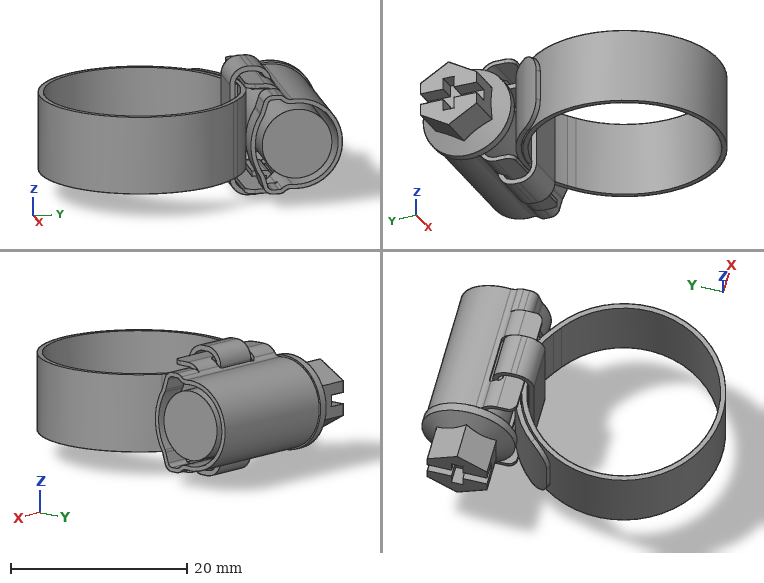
import cadquery as cq
import math

screw_axis_y = 16.25
head_end_x = -12.65
hex_width = 7.0
collar_radius = 5.45
collar_front_x = -7.53
collar_back_x = -6.55
cone_angle = 30.0
cone_tip_radius = 3.0
shaft_radius = 4.03
slot_width = 1.33
slot_depth = 2.0
cross_slot_length = 4.05

housing_end_x = 9.5
housing_sheet = 0.5
barrel_radius = 5.25
barrel_overrun = 6.5
valley_radius = 0.95
wing_end_x = 6.45
wing_slope = 53.0
wing_bend_radius = 2.03
wing_tip_y = 11.0
wing_corner_radius = 1.0
window_half_length = 3.03
window_far_y = 15.02
window_near_y = 13.5
window_corner_radius = 0.43

loop_slope = 43.5
loop_shoulder_radius = 1.05
loop_top_flat = 0.7
loop_side_radius = 1.1
loop_side_turn = 73.0
loop_side_length = 1.25
loop_kink_radius = 0.65
loop_bottom_half_angle = 32.0

strap_half_length = 2.55
strap_sheet = 0.6
strap_half_height = 7.542
strap_bend_radius = 2.1
strap_near_y = 9.85
strap_far_y = 14.7
strap_hook_tip_y = 12.42
strap_hook_z = 4.8

band_radius = 11.6
band_sheet = 0.6
band_width = 9.0
band_start_angle = 96.0
ring_end_angle = 54.5
lift_length = 1.13
tail_radius = 11.2
tail_end_angle = 151.5
tail_corner_radius = 2.65



def polar(radius, angle):
    return cq.Vector(radius * math.cos(math.radians(angle)), radius * math.sin(math.radians(angle)))


def advance(point, heading, step):
    """Point and heading reached after one step."""
    size, turn = step
    if turn == 0:
        return point + polar(size, heading), heading
    quarter = math.copysign(90, turn)
    center = point + polar(size, heading + quarter)
    return center - polar(size, heading + turn + quarter), heading + turn


def walk(point, heading, steps):
    """Point and heading reached after all the steps."""
    for step in steps:
        point, heading = advance(point, heading, step)
    return point, heading


def draw_path(outline, point, heading, steps):
    """Adds the steps to an outline whose current point is the given one."""
    for size, turn in steps:
        middle = advance(point, heading, (size, turn / 2))[0]
        point, heading = advance(point, heading, (size, turn))
        if turn:
            outline = outline.threePointArc((middle.x, middle.y), (point.x, point.y))
        else:
            outline = outline.lineTo(point.x, point.y)
    return outline


def inner_path(steps, thickness):
    """The steps of the inner face that runs beside the outer one."""
    return [(size - math.copysign(thickness, turn) if turn else size, turn) for size, turn in steps]


def reverse_turns(steps):
    """The same path walked from its other end."""
    return [(size, -turn) for size, turn in reversed(steps)]


def symmetric(half_steps):
    """Path whose first half is the given one and whose second half mirrors it."""
    return half_steps + half_steps[::-1]


def bent_sheet(plane, start, heading, steps, thickness):
    """Closed outline of a bent sheet with square ends."""
    end, end_heading = walk(start, heading, steps)
    inner_end = end + polar(thickness, end_heading + 90)
    outline = cq.Workplane(plane).moveTo(start.x, start.y)
    outline = draw_path(outline, start, heading, steps).lineTo(inner_end.x, inner_end.y)
    way_back = reverse_turns(inner_path(steps, thickness))
    return draw_path(outline, inner_end, end_heading + 180, way_back).close()



def make_screw():
    cone_length = (collar_radius - cone_tip_radius) * math.tan(math.radians(cone_angle))
    turned = (
        cq.Workplane("XY")
        .moveTo(collar_front_x - cone_length, 0)
        .lineTo(collar_front_x - cone_length, cone_tip_radius)
        .lineTo(collar_front_x, collar_radius)
        .lineTo(collar_back_x, collar_radius)
        .lineTo(collar_back_x, shaft_radius)
        .lineTo(housing_end_x, shaft_radius)
        .lineTo(housing_end_x, 0)
        .close()
        .revolve(360, (0, 0, 0), (1, 0, 0))
    )
    hexagon = (
        cq.Workplane("YZ", origin=(head_end_x, 0, 0))
        .polygon(6, hex_width, circumscribed=True)
        .extrude(collar_front_x - head_end_x)
    )
    slots = (
        cq.Workplane("YZ", origin=(head_end_x, 0, 0))
        .rect(hex_width, slot_width)
        .extrude(slot_depth)
        .union(
            cq.Workplane("YZ", origin=(head_end_x, 0, 0))
            .rect(slot_width, cross_slot_length)
            .extrude(slot_depth)
        )
    )
    return turned.union(hexagon).cut(slots).translate((0, screw_axis_y, 0))



def barrel_upper_edge():
    """Point and heading where the barrel's outer face ends above the screw."""
    barrel_back = cq.Vector(screw_axis_y + barrel_radius, 0)
    return walk(barrel_back, 90, [(barrel_radius, 90 + barrel_overrun)])


def make_barrel():
    edge, heading = barrel_upper_edge()
    lower_edge = cq.Vector(edge.x, -edge.y)
    arc = (barrel_radius, 90 + barrel_overrun)
    return (
        bent_sheet("YZ", lower_edge, 180 - heading, symmetric([arc]), housing_sheet)
        .extrude(housing_end_x - collar_back_x)
        .translate((collar_back_x, 0, 0))
    )


def make_upper_wing():
    edge, heading = barrel_upper_edge()
    bends = [(valley_radius, -barrel_overrun - wing_slope), (wing_bend_radius, wing_slope)]
    bend_end = walk(edge, heading, bends)[0]
    wing_flat = (bend_end.x - wing_tip_y, 0)
    return (
        bent_sheet("YZ", edge, heading, bends + [wing_flat], housing_sheet)
        .extrude(wing_end_x - collar_back_x)
        .edges("|Z and <Y")
        .fillet(wing_corner_radius)
        .translate((collar_back_x, 0, 0))
    )


def make_end_loop():
    """Far end of the housing, where the sheet runs around below the screw to the barrel's other edge."""
    edge, heading = barrel_upper_edge()
    side = [
        (valley_radius, -barrel_overrun - loop_slope),
        (loop_shoulder_radius, loop_slope),
        (loop_top_flat, 0),
        (loop_side_radius, loop_side_turn),
        (loop_side_length, 0),
        (loop_kink_radius, 90 - loop_bottom_half_angle - loop_side_turn),
    ]
    side_end = walk(edge, heading, side)[0]
    bottom_radius = side_end.y / math.sin(math.radians(loop_bottom_half_angle))
    half_loop = side + [(bottom_radius, loop_bottom_half_angle)]
    return (
        bent_sheet("YZ", edge, heading, symmetric(half_loop), housing_sheet)
        .extrude(housing_end_x - wing_end_x)
        .translate((wing_end_x, 0, 0))
    )


def make_housing():
    upper_wing = make_upper_wing()
    windows = (
        cq.Workplane("XY")
        .center(0, (window_far_y + window_near_y) / 2)
        .rect(2 * window_half_length, window_far_y - window_near_y)
        .extrude(strap_half_height, both=True)
        .edges("|Z")
        .fillet(window_corner_radius)
    )
    return (
        make_barrel()
        .union(make_end_loop())
        .union(upper_wing)
        .union(upper_wing.mirror("XY"))
        .cut(windows)
    )



def make_strap():
    hook_radius = strap_half_height - strap_bend_radius - strap_hook_z
    hook_length = strap_far_y - hook_radius - strap_hook_tip_y
    top_flat = strap_far_y - strap_near_y - 2 * strap_bend_radius
    half_strap = [
        (hook_length, 0),
        (hook_radius, 90),
        (strap_bend_radius, 90),
        (top_flat, 0),
        (strap_bend_radius, 90),
        (strap_half_height - strap_bend_radius, 0),
    ]
    upper_hook_tip = cq.Vector(strap_hook_tip_y, strap_hook_z)
    return (
        bent_sheet("YZ", upper_hook_tip, 0, symmetric(half_strap), strap_sheet)
        .extrude(strap_half_length, both=True)
    )



def make_band():
    start = polar(band_radius, band_start_angle)
    steps = [
        (band_radius, 360 + ring_end_angle - band_start_angle),
        (lift_length, 0),
        (tail_radius, tail_end_angle - ring_end_angle),
    ]
    start_heading = band_start_angle + 90
    tip = walk(start, start_heading, steps)[0]
    band = (
        bent_sheet("XY", start, start_heading, steps, band_sheet)
        .extrude(band_width / 2, both=True)
    )
    middle_of_tip = tip - polar(band_sheet / 2, tail_end_angle)
    for side in (1, -1):
        corner = (middle_of_tip.x, middle_of_tip.y, side * band_width / 2)
        band = band.edges(cq.NearestToPointSelector(corner)).fillet(tail_corner_radius)
    return band


screw = make_screw()
housing = make_housing()
strap = make_strap()
band = make_band()

result = cq.Compound.makeCompound([screw.val(), housing.val(), strap.val(), band.val()])